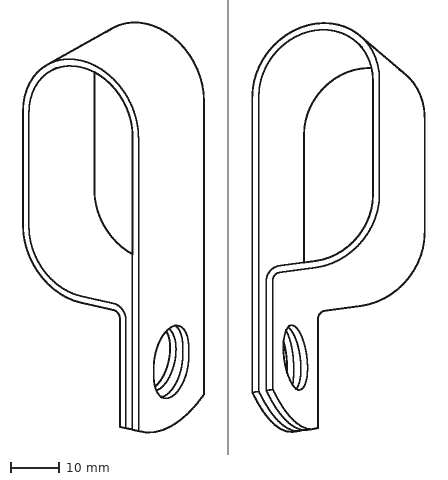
import cadquery as cq
import math

total_height = 82.5
loop_width = 28.45
strap_width = 25.4
thickness = 1.5
leg_gap = 1.65
loop_straight = 25.4
bend_inner = 1.5
hole_diameter = 13.5
hole_height = 14.3
slot_length = 15.5
tip_rise = 3.0

outer_radius = loop_width / 2
inner_radius = outer_radius - thickness
upper_center = total_height - outer_radius
lower_center = upper_center - loop_straight
floor_bottom = lower_center - outer_radius
floor_top = floor_bottom + thickness
short_leg_right = inner_radius - leg_gap
short_leg_left = short_leg_right - thickness
bend_outer = bend_inner + thickness
bend_x = short_leg_left - bend_inner
bend_z = floor_bottom - bend_inner


def polar(center_x, center_z, radius, degrees):
    """Point on a circle in the XZ plane."""
    angle = math.radians(degrees)
    return (center_x + radius * math.cos(angle), center_z + radius * math.sin(angle))


def make_strap():
    """Bent strip: long leg, loop and short leg, extruded about Y = 0."""
    return (
        cq.Workplane("XZ")
        .moveTo(outer_radius, 0)
        .lineTo(outer_radius, upper_center)
        .threePointArc((0, total_height), (-outer_radius, upper_center))
        .lineTo(-outer_radius, lower_center)
        .threePointArc(polar(0, lower_center, outer_radius, 225), (0, floor_bottom))
        .lineTo(bend_x, floor_bottom)
        .threePointArc(polar(bend_x, bend_z, bend_inner, 45), (short_leg_left, bend_z))
        .lineTo(short_leg_left, 0)
        .lineTo(short_leg_right, 0)
        .lineTo(short_leg_right, bend_z)
        .threePointArc(polar(bend_x, bend_z, bend_outer, 45), (bend_x, floor_top))
        .lineTo(0, floor_top)
        .threePointArc(polar(0, lower_center, inner_radius, 225), (-inner_radius, lower_center))
        .lineTo(-inner_radius, upper_center)
        .threePointArc((0, upper_center + inner_radius), (inner_radius, upper_center))
        .lineTo(inner_radius, 0)
        .close()
        .extrude(strap_width / 2, both=True)
    )


def make_side_outline():
    """Strap silhouette along X, with the arched tip that both legs share."""
    half_width = strap_width / 2
    return (
        cq.Workplane("YZ")
        .moveTo(-half_width, total_height)
        .lineTo(-half_width, tip_rise)
        .threePointArc((0, 0), (half_width, tip_rise))
        .lineTo(half_width, total_height)
        .close()
        .extrude(outer_radius, both=True)
    )


def make_bolt_hole():
    """Round hole through the short leg."""
    return (
        cq.Workplane("YZ", origin=(short_leg_left, 0, hole_height))
        .circle(hole_diameter / 2)
        .extrude(thickness)
    )


def make_bolt_slot():
    """Upright slot through the long leg, as wide as the round hole and centred on it."""
    return (
        cq.Workplane("YZ", origin=(inner_radius, 0, hole_height))
        .slot2D(slot_length, hole_diameter, 90)
        .extrude(thickness)
    )


strap = make_strap().intersect(make_side_outline())
result = strap.cut(make_bolt_hole()).cut(make_bolt_slot())